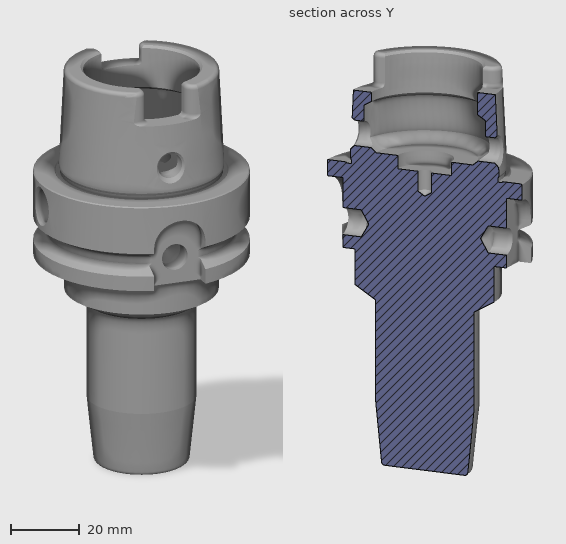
import cadquery as cq
import math


SHANK_TOP = 31.9
TAPER_BASE_RADIUS = 24.05
TAPER_BASE_Z = 2.1
TAPER_LAND_BOTTOM = 1.4
TAPER_RATIO = 1 / 20
RIM_FILLET = 1.3

RELIEF_RADIUS = 23.75
RELIEF_TOP = 0.7
RELIEF_DEPTH = 0.3
RELIEF_OUTER_RADIUS = 25.3

FLANGE_RADIUS = 31.5
FLANGE_HEIGHT = 26.0
FLANGE_EDGE = 0.3
GROOVE_RADIUS = 27.5
GROOVE_Z = -18.0
GROOVE_WIDTH = 7.0
GROOVE_FLANK_ANGLE = 27
GROOVE_ROOT_FILLET = 0.7

COLLAR_RADIUS = 22.5
COLLAR_BOTTOM = -36.7
COLLAR_CONE_ANGLE = 30
NOSE_RADIUS = 16.0
NOSE_TAPER_TOP = -70.0
NOSE_BOTTOM = -90.0
NOSE_END_RADIUS = 13.9
NOSE_FILLET = 1.2

BORE_RADIUS = 17.0
BORE_RIM_CHAMFER = 0.7
BORE_STRAIGHT_DEPTH = 12.8
UNDERCUT_RADIUS = 19.5
UNDERCUT_FLANK_ANGLE = 60
UNDERCUT_END_DEPTH = 24.8
CAVITY_DEPTH = 28.0
CAVITY_FLOOR_RADIUS = 15.6
SEAT_RADIUS = 8.6
SEAT_DEPTH = 4.0
COOLANT_RADIUS = 2.1
COOLANT_DEPTH = 6.0
DRILL_POINT_ANGLE = 118

DRIVE_SLOT_WIDTH = 12.5
LEFT_SLOT_DEPTH = 6.0
RIGHT_SLOT_DEPTH = 10.0
SLOT_MOUTH_ROUND = 3.0
SLOT_MOUTH_X = 20.5
SLOT_MOUTH_REACH = 12.0
SLOT_FOOT_FILLET = 1.2

KEYWAY_RADIUS = 8.0
KEYWAY_ARC_Z = -13.0
KEYWAY_FLOOR = 26.5
NOTCH_FLOOR = 20.0
KEYWAY_HOLE_RADIUS = 4.0
KEYWAY_HOLE_DEPTH = 6.0

ACCESS_RADIUS = 3.75
ACCESS_Z = 9.0
ACCESS_MOUTH_RADIUS = 4.75
CHIP_RADIUS = 4.85
CHIP_Z = -7.2
CHIP_DEPTH = 4.6
CHIP_MOUTH_RADIUS = 5.85
CHIP_CENTRE_RADIUS = 0.5
CHIP_CENTRE_DEPTH = 1.0

CLEARANCE = 1.0


def taper_radius(z):
    return TAPER_BASE_RADIUS - (z - TAPER_BASE_Z) * TAPER_RATIO


def radial_frame(direction, start_radius, z):
    """Plane at start_radius from the axis, its normal pointing inward."""
    x, y = direction
    return cq.Plane(
        origin=(x * start_radius, y * start_radius, z),
        xDir=(y, -x, 0),
        normal=(-x, -y, 0),
    )


def drill(plane, radius, depth):
    """Blind hole with a conical drill point."""
    point = radius / math.tan(math.radians(DRILL_POINT_ANGLE / 2))
    cylinder = cq.Workplane(plane).circle(radius).extrude(depth)
    tip = cq.Solid.makeCone(
        radius, 0, point, pnt=plane.origin + plane.zDir * depth, dir=plane.zDir
    )
    return cylinder.union(cq.Workplane(tip))


def countersink(plane, mouth_radius, hole_radius):
    """45 degree cone from the plane down to the hole, extended outward past the plane."""
    height = mouth_radius + CLEARANCE - hole_radius
    return cq.Workplane(
        cq.Solid.makeCone(
            mouth_radius + CLEARANCE,
            hole_radius,
            height,
            pnt=plane.origin - plane.zDir * CLEARANCE,
            dir=plane.zDir,
        )
    )


def make_body():
    cone_drop = (COLLAR_RADIUS - NOSE_RADIUS) * math.tan(math.radians(COLLAR_CONE_ANGLE))
    outline = (
        cq.Workplane("XZ")
        .moveTo(0, SHANK_TOP)
        .lineTo(taper_radius(SHANK_TOP), SHANK_TOP)
        .lineTo(TAPER_BASE_RADIUS, TAPER_BASE_Z)
        .lineTo(TAPER_BASE_RADIUS, TAPER_LAND_BOTTOM)
        .lineTo(RELIEF_RADIUS, RELIEF_TOP)
        .lineTo(RELIEF_RADIUS, -RELIEF_DEPTH)
        .lineTo(RELIEF_OUTER_RADIUS - RELIEF_DEPTH, -RELIEF_DEPTH)
        .lineTo(RELIEF_OUTER_RADIUS, 0)
        .lineTo(FLANGE_RADIUS - FLANGE_EDGE, 0)
        .lineTo(FLANGE_RADIUS, -FLANGE_EDGE)
        .lineTo(FLANGE_RADIUS, -FLANGE_HEIGHT)
        .lineTo(COLLAR_RADIUS, -FLANGE_HEIGHT)
        .lineTo(COLLAR_RADIUS, COLLAR_BOTTOM)
        .lineTo(NOSE_RADIUS, COLLAR_BOTTOM - cone_drop)
        .lineTo(NOSE_RADIUS, NOSE_TAPER_TOP)
        .lineTo(NOSE_END_RADIUS, NOSE_BOTTOM)
        .lineTo(0, NOSE_BOTTOM)
        .close()
    )
    body = outline.revolve(360, (0, 0, 0), (0, 1, 0))
    return body.faces("<Z").edges().fillet(NOSE_FILLET)


def cut_groove(body):
    """V-groove around the flange with rounded root corners."""
    slope = math.tan(math.radians(GROOVE_FLANK_ANGLE))
    outer_radius = FLANGE_RADIUS + CLEARANCE
    outer_half = GROOVE_WIDTH / 2 + (outer_radius - FLANGE_RADIUS) * slope
    root_half = GROOVE_WIDTH / 2 - (FLANGE_RADIUS - GROOVE_RADIUS) * slope
    ring = (
        cq.Workplane("XZ")
        .moveTo(GROOVE_RADIUS, GROOVE_Z - root_half)
        .lineTo(outer_radius, GROOVE_Z - outer_half)
        .lineTo(outer_radius, GROOVE_Z + outer_half)
        .lineTo(GROOVE_RADIUS, GROOVE_Z + root_half)
        .close()
        .revolve(360, (0, 0, 0), (0, 1, 0))
        .edges(cq.selectors.RadiusNthSelector(0))
        .fillet(GROOVE_ROOT_FILLET)
    )
    return body.cut(ring)


def cut_cavity(body):
    floor_z = SHANK_TOP - CAVITY_DEPTH
    flank_top = SHANK_TOP - BORE_STRAIGHT_DEPTH
    flank_angle = math.radians(UNDERCUT_FLANK_ANGLE)
    flank_height = (UNDERCUT_RADIUS - BORE_RADIUS) / math.tan(flank_angle)
    cavity = (
        cq.Workplane("XZ")
        .moveTo(0, SHANK_TOP)
        .lineTo(BORE_RADIUS + BORE_RIM_CHAMFER, SHANK_TOP)
        .lineTo(BORE_RADIUS, SHANK_TOP - BORE_RIM_CHAMFER)
        .lineTo(BORE_RADIUS, flank_top)
        .lineTo(UNDERCUT_RADIUS, flank_top - flank_height)
        .lineTo(UNDERCUT_RADIUS, SHANK_TOP - UNDERCUT_END_DEPTH)
        .lineTo(CAVITY_FLOOR_RADIUS, floor_z)
        .lineTo(SEAT_RADIUS, floor_z)
        .lineTo(SEAT_RADIUS, floor_z - SEAT_DEPTH)
        .lineTo(0, floor_z - SEAT_DEPTH)
        .close()
        .revolve(360, (0, 0, 0), (0, 1, 0))
    )
    coolant_plane = cq.Plane(origin=(0, 0, floor_z - SEAT_DEPTH), normal=(0, 0, -1))
    return body.cut(cavity).cut(drill(coolant_plane, COOLANT_RADIUS, COOLANT_DEPTH))


def cut_drive_slot(body, side, depth):
    """Slot across one side of the rim; its mouth flares outward with rounded corners."""
    half = DRIVE_SLOT_WIDTH / 2
    flare = half + SLOT_MOUTH_ROUND
    straight_end = SLOT_MOUTH_X - SLOT_MOUTH_ROUND
    outside = TAPER_BASE_RADIUS + CLEARANCE
    bulge = SLOT_MOUTH_ROUND * math.sqrt(0.5)
    slot = (
        cq.Workplane("XY", origin=(0, 0, SHANK_TOP - depth))
        .moveTo(0, -half)
        .lineTo(straight_end, -half)
        .threePointArc((straight_end + bulge, -flare + bulge), (SLOT_MOUTH_X, -flare))
        .lineTo(SLOT_MOUTH_X, -SLOT_MOUTH_REACH)
        .lineTo(outside, -SLOT_MOUTH_REACH)
        .lineTo(outside, SLOT_MOUTH_REACH)
        .lineTo(SLOT_MOUTH_X, SLOT_MOUTH_REACH)
        .lineTo(SLOT_MOUTH_X, flare)
        .threePointArc((straight_end + bulge, flare - bulge), (straight_end, half))
        .lineTo(0, half)
        .close()
        .extrude(depth + CLEARANCE)
        .faces("<Z")
        .edges()
        .fillet(SLOT_FOOT_FILLET)
    )
    if side < 0:
        slot = slot.mirror("YZ")
    return body.cut(slot)


def round_rim(body):
    """Fillet the top edge all around both lugs; done before boring, so the bore edge stays sharp."""
    return body.faces(">Z").edges().fillet(RIM_FILLET)


def keyway_cutter(side, floor, centre_y):
    """Round-topped slot along X, open at the flange bottom and outward."""
    bottom = -FLANGE_HEIGHT
    height = KEYWAY_ARC_Z - bottom
    length = FLANGE_RADIUS + CLEARANCE - floor
    middle_x = side * (floor + length / 2)
    slab = cq.Workplane("XY").box(length, 2 * KEYWAY_RADIUS, height)
    slab = slab.translate((middle_x, centre_y, bottom + height / 2))
    arch = (
        cq.Workplane("YZ", origin=(middle_x, centre_y, KEYWAY_ARC_Z))
        .circle(KEYWAY_RADIUS)
        .extrude(length / 2, both=True)
    )
    return slab.union(arch)


def cut_flange_slots(body):
    for side in (-1, 1):
        body = body.cut(keyway_cutter(side, KEYWAY_FLOOR, 0))
        hole_plane = radial_frame((side, 0), KEYWAY_FLOOR, GROOVE_Z)
        body = body.cut(drill(hole_plane, KEYWAY_HOLE_RADIUS, KEYWAY_HOLE_DEPTH))
    return body.cut(keyway_cutter(-1, NOTCH_FLOOR, NOTCH_FLOOR + KEYWAY_RADIUS))


def cut_access_holes(body):
    wall_radius = taper_radius(ACCESS_Z)
    for side in (-1, 1):
        plane = radial_frame((side, 0), wall_radius, ACCESS_Z)
        body = body.cut(cq.Workplane(plane).circle(ACCESS_RADIUS).extrude(wall_radius))
        body = body.cut(countersink(plane, ACCESS_MOUTH_RADIUS, ACCESS_RADIUS))
    return body


def cut_chip_hole(body):
    plane = radial_frame((0, -1), FLANGE_RADIUS, CHIP_Z)
    hole = cq.Workplane(plane).circle(CHIP_RADIUS).extrude(CHIP_DEPTH)
    centre = cq.Workplane(plane).circle(CHIP_CENTRE_RADIUS).extrude(CHIP_DEPTH + CHIP_CENTRE_DEPTH)
    mouth = countersink(plane, CHIP_MOUTH_RADIUS, CHIP_RADIUS)
    return body.cut(hole).cut(centre).cut(mouth)


result = make_body()
result = cut_groove(result)
result = cut_drive_slot(result, -1, LEFT_SLOT_DEPTH)
result = cut_drive_slot(result, 1, RIGHT_SLOT_DEPTH)
result = round_rim(result)
result = cut_cavity(result)
result = cut_flange_slots(result)
result = cut_access_holes(result)
result = cut_chip_hole(result)